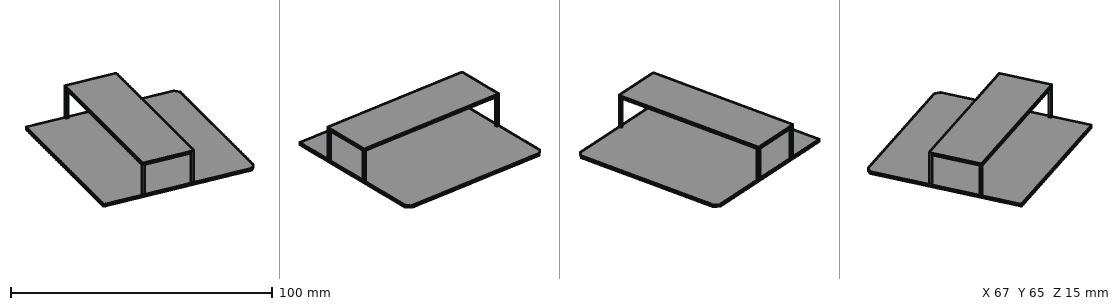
import cadquery as cq

width = 67.0
depth = 65.0
sheet = 1.0
corner_chamfer = 1.8

height = 15.0
bridge_front = 16.6
bridge_depth = 22.0
post = 1.0

base = (
    cq.Workplane("XY")
    .box(width, depth, sheet, centered=False)
    .edges("|Z and >Y")
    .chamfer(corner_chamfer)
)

bridge_top = (
    cq.Workplane("XY")
    .box(width, bridge_depth, sheet, centered=False)
    .translate((0, bridge_front, height - sheet))
)

result = base.union(bridge_top)

for x in (0, width - post):
    for y in (bridge_front, bridge_front + bridge_depth - post):
        corner_post = cq.Workplane("XY").box(post, post, height, centered=False)
        result = result.union(corner_post.translate((x, y, 0)))